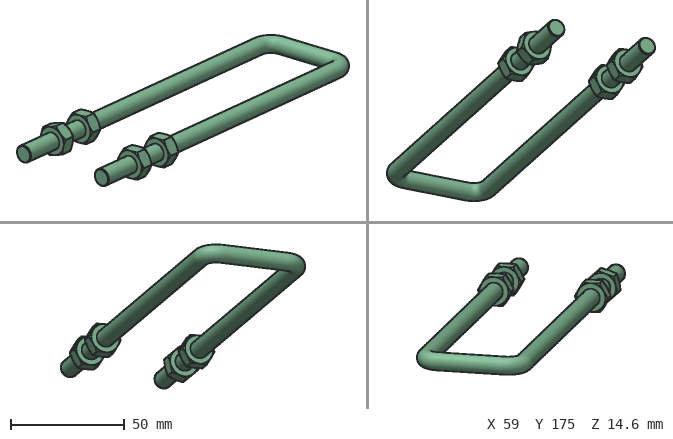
import cadquery as cq
import math

rod_diameter = 8.0
leg_spacing = 44.0
rod_length = 175.0
bend_radius = 7.0
end_chamfer = 0.4

nut_across_corners = 15.0
nut_height = 6.5
bevel_angle = 30.0
inner_nut_start = 38.5
outer_nut_start = 20.0
turned_nut_angle = -17.0

rod_radius = rod_diameter / 2
leg_x = leg_spacing / 2
crossbar_y = rod_length - rod_radius
corner_radius = nut_across_corners / 2
flat_radius = corner_radius * math.cos(math.pi / 6)
bevel_depth = (corner_radius - flat_radius) * math.tan(math.radians(bevel_angle))


def make_rod():
    """Sweep the round section along one leg, the crossbar and the other leg."""
    bend_start_y = crossbar_y - bend_radius
    bend_end_x = leg_x - bend_radius
    bend_inset = bend_radius * (1 - math.sin(math.pi / 4))
    bend_mid_x = leg_x - bend_inset
    bend_mid_y = crossbar_y - bend_inset
    centreline = (
        cq.Workplane("XY")
        .moveTo(-leg_x, 0)
        .lineTo(-leg_x, bend_start_y)
        .threePointArc((-bend_mid_x, bend_mid_y), (-bend_end_x, crossbar_y))
        .lineTo(bend_end_x, crossbar_y)
        .threePointArc((bend_mid_x, bend_mid_y), (leg_x, bend_start_y))
        .lineTo(leg_x, 0)
    )
    bar = cq.Workplane("XZ").center(-leg_x, 0).circle(rod_radius).sweep(centreline)
    return bar.faces("<Y").chamfer(end_chamfer)


def make_nut(x, start_y, turn):
    """Hexagon nut with its axis along Y, bored to fit the rod, corners bevelled at both faces."""
    hexagon = cq.Workplane("XY").polygon(6, nut_across_corners).extrude(nut_height)
    bevel_envelope = (
        cq.Workplane("XZ")
        .lineTo(flat_radius, 0)
        .lineTo(corner_radius, bevel_depth)
        .lineTo(corner_radius, nut_height - bevel_depth)
        .lineTo(flat_radius, nut_height)
        .lineTo(0, nut_height)
        .close()
        .revolve(360, (0, 0, 0), (0, 1, 0))
    )
    bore = cq.Workplane("XY").circle(rod_radius).extrude(nut_height)
    nut = hexagon.intersect(bevel_envelope).cut(bore)
    return (
        nut.rotate((0, 0, 0), (1, 0, 0), -90)
        .rotate((0, 0, 0), (0, 1, 0), turn)
        .translate((x, start_y, 0))
    )


rod = make_rod()

nut_places = [
    (-leg_x, inner_nut_start, 0),
    (-leg_x, outer_nut_start, turned_nut_angle),
    (leg_x, inner_nut_start, 0),
    (leg_x, outer_nut_start, 0),
]
nuts = [make_nut(x, start_y, turn) for x, start_y, turn in nut_places]

result = cq.Compound.makeCompound([rod.solids().val(), *[nut.solids().val() for nut in nuts]])